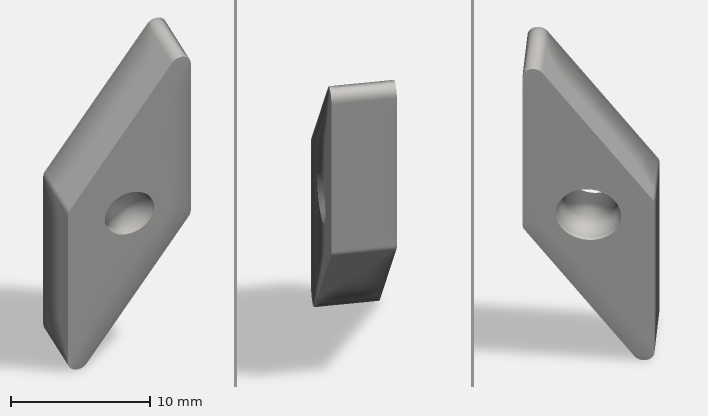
import cadquery as cq
import math

height = 26.72
width = 9.5
thickness = 4.75
tip_angle = math.radians(35)
bore_diameter = 3.82
mouth_diameter = 4.73
mouth_depth = 0.32
flare_diameter = 4.62
flare_end_depth = 1.76

half_width = width / 2
side_length = width / math.sin(tip_angle)
lean_rise = width / math.tan(tip_angle)
sharp_tip_z = (side_length + lean_rise) / 2
blunt_z = side_length - sharp_tip_z

corner_radius = (sharp_tip_z - height / 2) / (1 / math.tan(tip_angle / 2) - 1)


def make_body():
    corners = [
        (half_width, sharp_tip_z),
        (half_width, -blunt_z),
        (-half_width, -sharp_tip_z),
        (-half_width, blunt_z),
    ]
    plate = cq.Workplane("YZ").polyline(corners).close().extrude(thickness / 2, both=True)
    return plate.edges("|X").fillet(corner_radius)


def make_bore():
    """Through bore: a short tapered mouth, then an arc that runs tangent into the bore wall."""
    bore_r = bore_diameter / 2
    mouth_r = mouth_diameter / 2
    flare_r = flare_diameter / 2
    flare = flare_r - bore_r
    flare_length = flare_end_depth - mouth_depth
    flare_radius = (flare_length**2 + flare**2) / (2 * flare)
    half_sweep = math.asin(flare_length / flare_radius) / 2
    front_x = -thickness / 2
    back_x = thickness / 2
    flare_end_x = front_x + flare_end_depth
    arc_middle = (
        flare_end_x - flare_radius * math.sin(half_sweep),
        bore_r + flare_radius * (1 - math.cos(half_sweep)),
    )
    profile = (
        cq.Workplane("XY")
        .moveTo(front_x, 0)
        .lineTo(front_x, mouth_r)
        .lineTo(front_x + mouth_depth, flare_r)
        .threePointArc(arc_middle, (flare_end_x, bore_r))
        .lineTo(back_x, bore_r)
        .lineTo(back_x, 0)
        .close()
    )
    return profile.revolve(360, (0, 0, 0), (1, 0, 0))


result = make_body().cut(make_bore())